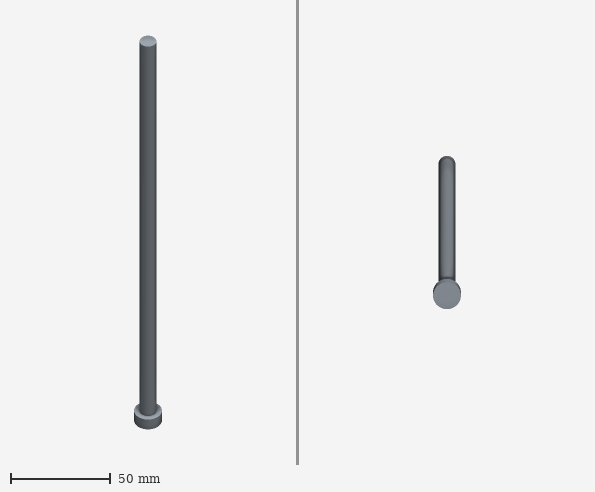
import cadquery as cq

total_length = 250.0
head_diameter = 14.0
head_height = 6.5
shank_diameter = 8.5

head = cq.Workplane("XY").circle(head_diameter / 2).extrude(head_height)
shank = cq.Workplane("XY").circle(shank_diameter / 2).extrude(total_length)

result = head.union(shank)